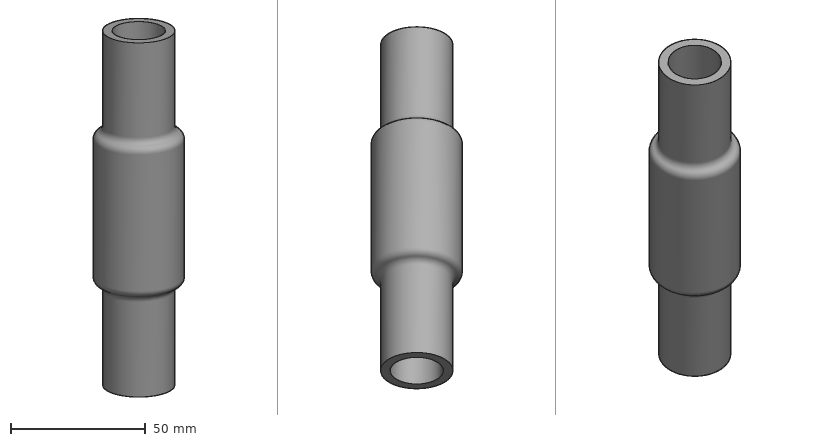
import cadquery as cq
import math

LENGTH = 140.0
TUBE_DIAMETER = 26.9
BODY_DIAMETER = 34.0
BORE_DIAMETER = 19.7
SHOULDER_SPACING = 59.5
SHOULDER_RADIUS = 3.0

tube_radius = TUBE_DIAMETER / 2
body_radius = BODY_DIAMETER / 2
bore_radius = BORE_DIAMETER / 2

half_step = (body_radius - tube_radius) / 2
arc_angle = math.acos(1 - half_step / SHOULDER_RADIUS)
half_rise = SHOULDER_RADIUS * math.sin(arc_angle)

arc_mid_rise = SHOULDER_RADIUS * math.sin(arc_angle / 2)
arc_mid_step = SHOULDER_RADIUS * (1 - math.cos(arc_angle / 2))

end_height = LENGTH / 2
shoulder_mid = SHOULDER_SPACING / 2
body_end = shoulder_mid - half_rise
tube_start = shoulder_mid + half_rise

shoulder_middle = (tube_radius + half_step, shoulder_mid)
concave_middle = (tube_radius + arc_mid_step, tube_start - arc_mid_rise)
convex_middle = (body_radius - arc_mid_step, body_end + arc_mid_rise)


def mirrored(point):
    """The matching (radius, height) point on the lower half of the part."""
    radius, height = point
    return (radius, -height)


def solid_sleeve():
    """Tube ends and thicker body as one turned shape, without the bore."""
    profile = (
        cq.Workplane("XZ")
        .moveTo(0, -end_height)
        .lineTo(tube_radius, -end_height)
        .lineTo(tube_radius, -tube_start)
        .threePointArc(mirrored(concave_middle), mirrored(shoulder_middle))
        .threePointArc(mirrored(convex_middle), (body_radius, -body_end))
        .lineTo(body_radius, body_end)
        .threePointArc(convex_middle, shoulder_middle)
        .threePointArc(concave_middle, (tube_radius, tube_start))
        .lineTo(tube_radius, end_height)
        .lineTo(0, end_height)
        .close()
    )
    return profile.revolve(360, (0, 0, 0), (0, 1, 0))


def bore():
    """Straight hole through the whole length."""
    return cq.Workplane("XY").workplane(offset=-end_height).circle(bore_radius).extrude(LENGTH)


result = solid_sleeve().cut(bore())